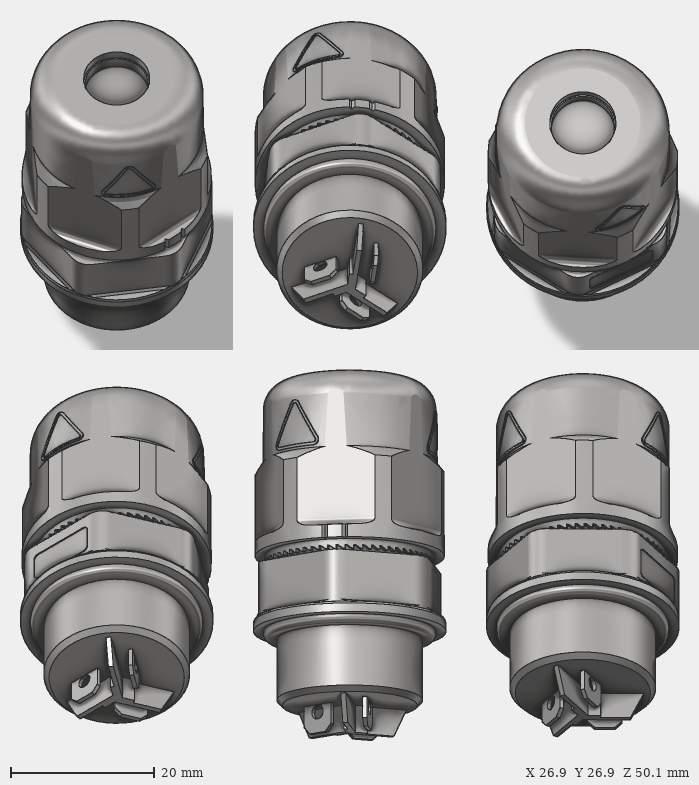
import cadquery as cq
import math

TOP_Z = 50.1
BODY_BOTTOM_Z = 4
SEAL_BOTTOM_Z = 13.4
FLANGE_BOTTOM_Z = 14.6
FLANGE_TOP_Z = 16.1
HEX_TOP_Z = 23.5
COLLAR_BOTTOM_Z = 23.95
NUT_BOTTOM_Z = 25.3
NUT_FLANGE_TOP_Z = 27.15
SHOULDER_Z = 37.05
DOME_BOTTOM_Z = 38.55

TUBE_R = 20.4 / 2
NECK_R = 22.35 / 2
COLLAR_R = 23.8 / 2
FLANGE_R = 26.9 / 2
FLAT_DISTANCE = 12
SEAL_R = FLAT_DISTANCE
NUT_R = 13.25
DOME_BOTTOM_R = 12.1
DOME_TOP_R = 12.05
DOME_FILLET = 4

TUBE_CHAMFER = 0.75
SEAL_FILLET = 0.8
FLANGE_CHAMFER_WIDTH = 0.15
FLANGE_CHAMFER_HEIGHT = 0.3
HEX_CORNER_FILLET = 3
HEX_FOOT = 0.3
SHOULDER_INNER_R = 12.5
SHOULDER_FILLET = 0.6
FLAT_ROOT_FILLET = 1
CUT_REACH = 20.05

ENTRY_R = 9.2 / 2
ENTRY_DEPTH = 1.35
BORE_R = 8.8 / 2
BORE_DEPTH = 3.2

TOOTH_COUNT = 60
TOOTH_HEIGHT = 0.5
TOOTH_PITCH = 2 * math.pi * COLLAR_R / TOOTH_COUNT
GULLET_ROOF = 0.2 * TOOTH_PITCH
GULLET_FLOOR = 0.75 * TOOTH_PITCH

MARK_ANGLE = -30
MARK_HALF_SPACING = 1.45
MARK_ROOT_DISTANCE = 12.8
MARK_HALF_WIDTH = 0.5

LABEL_WIDTH = 9.8
LABEL_HEIGHT = 4.4
LABEL_Z = 19.4
LABEL_CORNER = 0.75
LABEL_DEPTH = 0.15

SIGN_ANGLES = (60, 180, 300)
SIGN_BOTTOM_Z = 38.9
SIGN_INRADIUS = 2.5
SIGN_CORNER = 0.75
SIGN_BORDER = 0.4
SIGN_RAISE = 0.15

WING_ANGLES = (90, 210, 330)
WING_BOTTOM_Z = 0.15
WING_TIP_TOP = 8.5
WING_TIP_BOTTOM = 6.65
WING_INNER_FACE = 0.1
WING_OUTER_FACE = 0.8
HUB_REACH = 2.5
HUB_FACE = -0.4
BLADE_START = 0.7
BLADE_END = 5.5
BLADE_INNER_FACE = 2.7
BLADE_OUTER_FACE = 3.3
BLADE_CHAMFER = 1
PIN_HOLE_D = 2
PIN_HOLE_Z = 2.95


def turned(solid, angle):
    return solid.rotate((0, 0, 0), (0, 0, 1), angle)


def disc(radius, bottom, top):
    return cq.Workplane("XY").workplane(offset=bottom).circle(radius).extrude(top - bottom)


def hexagon(flat_distance, corner_fillet, bottom, top, taper=0):
    """Rounded hexagonal prism with flats facing +X and -X."""
    corner_r = flat_distance * 2 / math.sqrt(3)
    corners = [
        (corner_r * math.cos(math.radians(a)), corner_r * math.sin(math.radians(a)))
        for a in range(30, 390, 60)
    ]
    sketch = cq.Sketch().polygon(corners + corners[:1]).vertices().fillet(corner_fillet)
    base = cq.Workplane("XY").workplane(offset=bottom).placeSketch(sketch)
    return base.extrude(top - bottom, taper=taper)


def lower_body():
    tube = disc(TUBE_R, BODY_BOTTOM_Z, SEAL_BOTTOM_Z).faces("<Z").chamfer(TUBE_CHAMFER)
    seal = disc(SEAL_R, SEAL_BOTTOM_Z, FLANGE_BOTTOM_Z).faces("<Z").edges().fillet(SEAL_FILLET)
    flange = disc(FLANGE_R, FLANGE_BOTTOM_Z, FLANGE_TOP_Z)
    flange = flange.faces(">Z").chamfer(FLANGE_CHAMFER_HEIGHT, FLANGE_CHAMFER_WIDTH)
    grip = hexagon(FLAT_DISTANCE, HEX_CORNER_FILLET, FLANGE_TOP_Z, HEX_TOP_Z)
    foot = hexagon(
        FLAT_DISTANCE + HEX_FOOT,
        HEX_CORNER_FILLET + HEX_FOOT,
        FLANGE_TOP_Z,
        FLANGE_TOP_Z + HEX_FOOT,
        taper=45,
    ).intersect(disc(FLANGE_R - FLANGE_CHAMFER_WIDTH, FLANGE_TOP_Z, HEX_TOP_Z))
    label = (
        cq.Workplane("YZ", origin=(-FLAT_DISTANCE, 0, LABEL_Z))
        .rect(LABEL_WIDTH, LABEL_HEIGHT)
        .extrude(LABEL_DEPTH)
        .edges("|X")
        .fillet(LABEL_CORNER)
    )
    neck = disc(NECK_R, HEX_TOP_Z, NUT_BOTTOM_Z)
    return tube.union(seal).union(flange).union(grip).union(foot).cut(label).union(neck)


def ratchet_collar():
    """Collar whose lower rim is cut by sawtooth gullets down to the neck."""
    collar = disc(COLLAR_R, COLLAR_BOTTOM_Z, NUT_BOTTOM_Z)
    gullet = (
        cq.Workplane("XZ", origin=(0, -NECK_R / 2, COLLAR_BOTTOM_Z))
        .polyline([(0, 0), (0, TOOTH_HEIGHT), (GULLET_ROOF, TOOTH_HEIGHT), (GULLET_FLOOR, 0)])
        .close()
        .extrude(COLLAR_R)
        .val()
    )
    gullets = [
        gullet.rotate(cq.Vector(0, 0, 0), cq.Vector(0, 0, 1), i * 360 / TOOTH_COUNT)
        for i in range(TOOTH_COUNT)
    ]
    return cq.Workplane(collar.val().cut(*gullets))


def nut_profile(raise_by=0):
    """Half section of the nut; raise_by moves the wall above the shoulder outwards."""
    crown_r = DOME_TOP_R - DOME_FILLET
    dome_fillet_z = TOP_Z - DOME_FILLET
    diagonal = DOME_FILLET * math.sqrt(0.5)
    return (
        cq.Workplane("XZ")
        .moveTo(0, NUT_BOTTOM_Z)
        .lineTo(NUT_R, NUT_BOTTOM_Z)
        .lineTo(NUT_R, SHOULDER_Z)
        .lineTo(SHOULDER_INNER_R + raise_by, DOME_BOTTOM_Z - SHOULDER_FILLET)
        .lineTo(DOME_BOTTOM_R + raise_by, DOME_BOTTOM_Z)
        .lineTo(DOME_TOP_R + raise_by, dome_fillet_z)
        .threePointArc(
            (crown_r + raise_by + diagonal, dome_fillet_z + diagonal),
            (crown_r + raise_by, TOP_Z),
        )
        .lineTo(0, TOP_Z)
        .close()
    )


def flat_cutter():
    """Material outside one wrench flat on +X, with a concave root at the flange."""
    root_z = NUT_FLANGE_TOP_Z + FLAT_ROOT_FILLET
    diagonal = FLAT_ROOT_FILLET * (1 - math.sqrt(0.5))
    return (
        cq.Workplane("XZ")
        .moveTo(FLAT_DISTANCE, TOP_Z)
        .lineTo(FLAT_DISTANCE, root_z)
        .threePointArc(
            (FLAT_DISTANCE + diagonal, NUT_FLANGE_TOP_Z + diagonal),
            (FLAT_DISTANCE + FLAT_ROOT_FILLET, NUT_FLANGE_TOP_Z),
        )
        .lineTo(CUT_REACH, NUT_FLANGE_TOP_Z)
        .lineTo(CUT_REACH, TOP_Z)
        .close()
        .extrude(CUT_REACH / 2, both=True)
    )


def position_mark():
    marks = cq.Workplane("XY")
    for centre in (-MARK_HALF_SPACING, MARK_HALF_SPACING):
        groove = (
            cq.Workplane("XY", origin=(MARK_ROOT_DISTANCE, centre, NUT_BOTTOM_Z))
            .polyline([(0, 0), (MARK_HALF_WIDTH, MARK_HALF_WIDTH), (MARK_HALF_WIDTH, -MARK_HALF_WIDTH)])
            .close()
            .extrude(NUT_FLANGE_TOP_Z + FLAT_ROOT_FILLET - NUT_BOTTOM_Z)
        )
        marks = marks.union(groove)
    return turned(marks, MARK_ANGLE)


def sign_triangle(inradius, corner):
    """Upright rounded triangular bar along +X, centred on the sign."""
    half_width = inradius * math.sqrt(3)
    return (
        cq.Workplane("YZ", origin=(FLAT_DISTANCE / 2, 0, SIGN_BOTTOM_Z + SIGN_INRADIUS))
        .polyline([(-half_width, -inradius), (half_width, -inradius), (0, 2 * inradius)])
        .close()
        .extrude(CUT_REACH)
        .edges("|X")
        .fillet(corner)
    )


def sign_frame():
    frame = sign_triangle(SIGN_INRADIUS, SIGN_CORNER)
    frame = frame.cut(sign_triangle(SIGN_INRADIUS - SIGN_BORDER, SIGN_CORNER - SIGN_BORDER))
    return frame.intersect(nut_profile(SIGN_RAISE).revolve())


def nut():
    body = nut_profile().revolve()
    for angle in range(30, 390, 60):
        body = body.cut(turned(flat_cutter(), angle))
    body = body.cut(position_mark())
    for angle in SIGN_ANGLES:
        body = body.union(turned(sign_frame(), angle))
    body = body.cut(disc(ENTRY_R, TOP_Z - ENTRY_DEPTH, TOP_Z))
    return body.cut(disc(BORE_R, TOP_Z - BORE_DEPTH, TOP_Z))


def insert_wing():
    """Wing reaching along +X, with its hub block and its contact blade."""
    wing = (
        cq.Workplane("XZ", origin=(0, WING_INNER_FACE, 0))
        .polyline([
            (0, WING_BOTTOM_Z),
            (WING_TIP_BOTTOM, WING_BOTTOM_Z),
            (WING_TIP_TOP, BODY_BOTTOM_Z),
            (0, BODY_BOTTOM_Z),
        ])
        .close()
        .extrude(WING_INNER_FACE - WING_OUTER_FACE)
    )
    hub = cq.Workplane("XY", origin=(0, HUB_FACE, WING_BOTTOM_Z)).box(
        HUB_REACH,
        WING_OUTER_FACE - HUB_FACE,
        BODY_BOTTOM_Z - WING_BOTTOM_Z,
        centered=False,
    )
    blade = (
        cq.Workplane("XY", origin=(BLADE_START, BLADE_INNER_FACE, 0))
        .box(
            BLADE_END - BLADE_START,
            BLADE_OUTER_FACE - BLADE_INNER_FACE,
            BODY_BOTTOM_Z,
            centered=False,
        )
        .faces("<Z")
        .edges("|Y")
        .chamfer(BLADE_CHAMFER)
    )
    pin_hole = (
        cq.Workplane("XZ", origin=((BLADE_START + BLADE_END) / 2, BLADE_OUTER_FACE, PIN_HOLE_Z))
        .circle(PIN_HOLE_D / 2)
        .extrude(BLADE_OUTER_FACE - BLADE_INNER_FACE)
    )
    return wing.union(hub).union(blade.cut(pin_hole))


result = lower_body().union(ratchet_collar()).union(nut())
for wing_angle in WING_ANGLES:
    result = result.union(turned(insert_wing(), wing_angle))